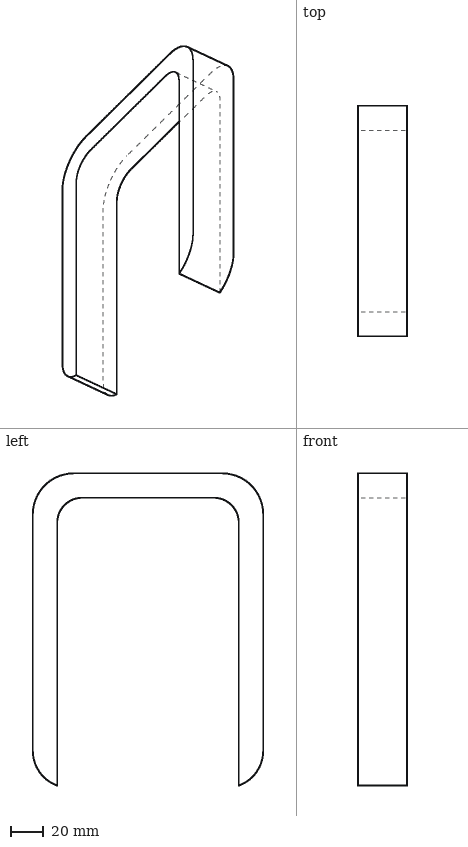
import cadquery as cq
import math

height = 189.8
span = 140.0
depth = 30.0
wall = 15.0
outer_radius = 25.0
inner_radius = 15.0
tip_radius = 22.5

tip_drop = math.sqrt(tip_radius**2 - (tip_radius - wall)**2)
half_span = span / 2
half_gap = half_span - wall


def arch_blank():
    """Upright U shape with rounded corners and square leg ends."""
    outer = (
        cq.Workplane("XY")
        .box(depth, span, height, centered=(True, True, False))
        .edges("|X and >Z")
        .fillet(outer_radius)
    )
    opening = (
        cq.Workplane("XY")
        .box(depth, 2 * half_gap, height - wall, centered=(True, True, False))
        .edges("|X and >Z")
        .fillet(inner_radius)
    )
    return outer.cut(opening)


def tip_waste(side):
    """Material outside the tip arc of the leg on the given side of Y."""
    mid_angle = math.atan2(tip_drop, tip_radius - wall) / 2
    arc_center_y = half_span - tip_radius
    mid_y = arc_center_y + tip_radius * math.cos(mid_angle)
    mid_z = tip_drop - tip_radius * math.sin(mid_angle)
    return (
        cq.Workplane("YZ")
        .moveTo(side * half_gap, 0)
        .threePointArc((side * mid_y, mid_z), (side * half_span, tip_drop))
        .lineTo(side * half_span, 0)
        .close()
        .extrude(depth / 2, both=True)
    )


result = arch_blank()
for side in (-1, 1):
    result = result.cut(tip_waste(side))